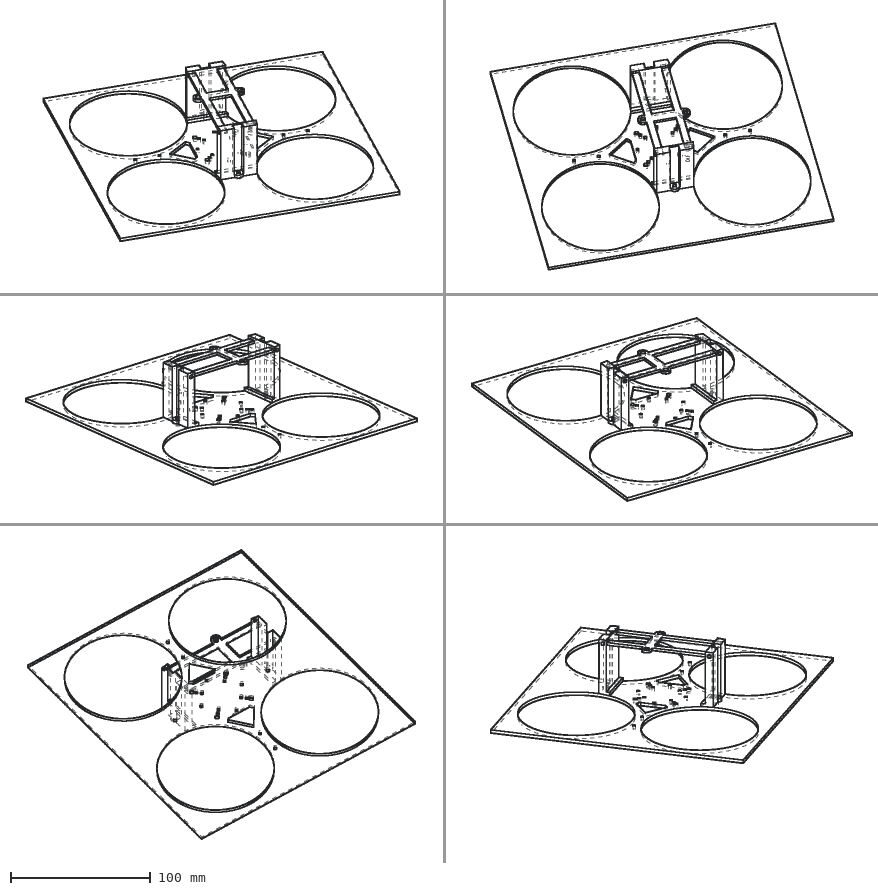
import cadquery as cq

PLATE_X = 190.0
PLATE_Y = 209.0
PLATE_T = 2.5
TOTAL_HEIGHT = 44.5

ROTOR_D = 84.0
ROTOR_X = 46.5
ROTOR_Y = 55.5

SMALL_HOLE_D = 2.0
OUTER_SQUARE_HALF = 15.3
OUTER_SQUARE_D = 3.0
MIDDLE_SQUARE_HALF = 13.0
INNER_SQUARE_HALF = 10.0
CROSS_HALF = 18.0
SPINE_INNER_Y = 46.5
SPINE_OUTER_Y = 64.5

WINDOW_BASE_Y = 21.0
WINDOW_SHOULDER_Y = 23.5
WINDOW_APEX_Y = 38.7
WINDOW_BASE_HALF = 9.2
WINDOW_SHOULDER_HALF = 11.7

WALL_INNER_X = 37.2
WALL_T = 5.9
WALL_OUTER_X = WALL_INNER_X + WALL_T
WALL_BLANK_Y = 33.5
FOOT_T = 2.5
FOOT_INNER_X = 34.3
CHANNEL_FLOOR_X = 38.7
CHANNEL_WIDTH = 7.1
LUG_R = 3.5
LUG_X = 41.2
LUG_HOLE_D = 2.5

FRAME_T = 2.0
FRAME_TOP_DROP = 2.0
FRAME_OUTER_Y = 13.4
FRAME_INNER_Y = 8.2
CROSSBAR_X = -6.5
EAR_R = 3.5
EAR_Y = 15.5
EAR_HOLE_D = 3.5
PIN_D = 2.5
PIN_X = 40.1

FRAME_Z = TOTAL_HEIGHT - FRAME_TOP_DROP - FRAME_T
PIN_Z = FRAME_Z + FRAME_T / 2
SIGNS = (-1, 1)


def box(x0, x1, y0, y1, z0, z1):
    """Box between two opposite corners."""
    return cq.Workplane("XY").box(x1 - x0, y1 - y0, z1 - z0, centered=False).translate((x0, y0, z0))


def upright_cylinders(points, diameter, z0, height):
    """Cylinders along Z at the given XY points."""
    return cq.Workplane("XY").workplane(offset=z0).pushPoints(points).circle(diameter / 2).extrude(height)


def square_points(half_x, half_y):
    """Four points placed symmetrically about the origin."""
    return [(sx * half_x, sy * half_y) for sx in SIGNS for sy in SIGNS]


def rotor_openings(height):
    """The four large round openings, as cutting cylinders."""
    return upright_cylinders(square_points(ROTOR_X, ROTOR_Y), ROTOR_D, 0, height)


def window(side):
    """Cutter for the triangular window on the +Y (1) or -Y (-1) side."""
    half_outline = [
        (WINDOW_BASE_HALF, side * WINDOW_BASE_Y),
        (WINDOW_SHOULDER_HALF, side * WINDOW_SHOULDER_Y),
    ]
    mirrored = [(-x, y) for x, y in reversed(half_outline)]
    outline = half_outline + [(0, side * WINDOW_APEX_Y)] + mirrored
    return cq.Workplane("XY").polyline(outline).close().extrude(PLATE_T)


def make_plate():
    """Flat plate with rotor openings, windows and fastener holes."""
    plate = cq.Workplane("XY").rect(PLATE_X, PLATE_Y).extrude(PLATE_T)
    plate = plate.cut(rotor_openings(PLATE_T))
    for side in SIGNS:
        plate = plate.cut(window(side))

    small_holes = [
        *square_points(MIDDLE_SQUARE_HALF, MIDDLE_SQUARE_HALF),
        *square_points(INNER_SQUARE_HALF, INNER_SQUARE_HALF),
    ]
    for side in SIGNS:
        small_holes.append((side * CROSS_HALF, 0))
        for y in (CROSS_HALF, SPINE_INNER_Y, SPINE_OUTER_Y):
            small_holes.append((0, side * y))

    hole_groups = [
        (small_holes, SMALL_HOLE_D),
        (square_points(OUTER_SQUARE_HALF, OUTER_SQUARE_HALF), OUTER_SQUARE_D),
        ([(side * LUG_X, 0) for side in SIGNS], LUG_HOLE_D),
    ]
    for points, diameter in hole_groups:
        plate = plate.cut(upright_cylinders(points, diameter, 0, PLATE_T))
    return plate


def make_wall(side):
    """Upright wall on the +X (1) or -X (-1) side; modelled at +X, then mirrored if needed."""
    half_y = WALL_BLANK_Y / 2
    foot_top = PLATE_T + FOOT_T
    wall = box(WALL_INNER_X, WALL_OUTER_X, -half_y, half_y, PLATE_T, TOTAL_HEIGHT)
    foot = box(FOOT_INNER_X, WALL_INNER_X, -half_y, half_y, PLATE_T, foot_top)
    wall = wall.union(foot)

    wall = wall.cut(rotor_openings(TOTAL_HEIGHT))

    half_channel = CHANNEL_WIDTH / 2
    wall = wall.cut(box(CHANNEL_FLOOR_X, WALL_OUTER_X, -half_channel, half_channel, foot_top, TOTAL_HEIGHT))
    wall = wall.union(upright_cylinders([(LUG_X, 0)], 2 * LUG_R, PLATE_T, FOOT_T))
    wall = wall.cut(upright_cylinders([(LUG_X, 0)], LUG_HOLE_D, PLATE_T, FOOT_T))
    return wall if side > 0 else wall.mirror("YZ")


def frame_pins(y0, y1):
    """The two pins along Y, one at each end of a rail, running from y0 to y1."""
    return (
        cq.Workplane("XZ", origin=(0, y1, 0))
        .pushPoints([(s * PIN_X, PIN_Z) for s in SIGNS])
        .circle(PIN_D / 2)
        .extrude(y1 - y0)
    )


def make_frame():
    """Two rails pinned into the walls, joined by a crossbar with a drilled ear at each end."""
    top = FRAME_Z + FRAME_T
    frame = box(CROSSBAR_X - EAR_R, CROSSBAR_X + EAR_R, -EAR_Y, EAR_Y, FRAME_Z, top)
    ears = [(CROSSBAR_X, side * EAR_Y) for side in SIGNS]
    frame = frame.union(upright_cylinders(ears, 2 * EAR_R, FRAME_Z, FRAME_T))
    frame = frame.cut(upright_cylinders(ears, EAR_HOLE_D, FRAME_Z, FRAME_T))

    for side in SIGNS:
        y0, y1 = sorted((side * FRAME_INNER_Y, side * FRAME_OUTER_Y))
        frame = frame.union(box(-PIN_X, PIN_X, y0, y1, FRAME_Z, top))

        y0, y1 = sorted((side * FRAME_INNER_Y, side * WALL_BLANK_Y / 2))
        frame = frame.union(frame_pins(y0, y1).cut(rotor_openings(TOTAL_HEIGHT)))
    return frame


plate = make_plate()
frame = make_frame()
walls = [make_wall(side).cut(frame) for side in SIGNS]

result = cq.Compound.makeCompound([plate.val(), *[wall.val() for wall in walls], frame.val()])